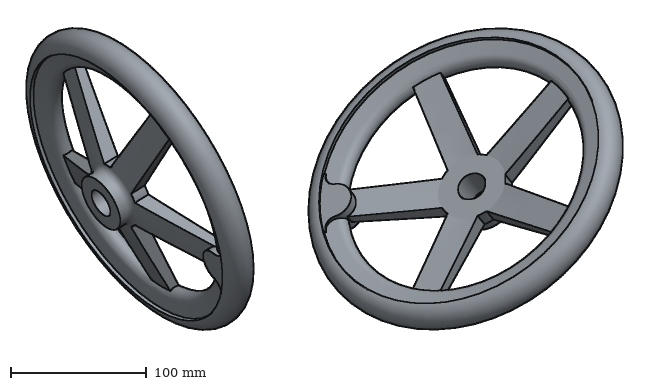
import cadquery as cq
import math


wheel_radius = 125.0
grip_radius = 13.0
grip_centre = wheel_radius - grip_radius
rim_inner_radius = 95.0
nose_end_radius = 101.0
flank_angle = math.radians(12)

overall_depth = 50.0
hub_front = grip_radius - overall_depth
neck_radius = 22.5
neck_length = 7.8
neck_flare_length = 4.8
neck_flare_radius = 26.0
flare_mid_outward = 0.3
flare_mid_inward = 0.6
hub_radius = 27.0
hub_back = -11.2
bore_radius = 11.0

spoke_count = 5
spoke_root_half_width = 13.0
spoke_tip_half_width = 11.2
spoke_tip_radius = 98.8
spoke_slope = 0.29
spoke_tip_thickness = 8.0

boss_radius = 14.0
boss_centre = nose_end_radius
boss_blend_radius = 9.0
blend_ring_radius = 110.5
boss_half_depth = 11.0
boss_anchor_radius = 115.0

flare_front = hub_front + neck_length
flare_back = flare_front + neck_flare_length


def revolve_about_y(profile):
    """Revolve a closed profile drawn in the XY plane about the Y axis."""
    return profile.close().revolve(360, (0, 0, 0), (0, 1, 0))


def extrude_along_y(profile, y_start, y_end):
    """Extrude an outline on the XZ plane between two Y positions."""
    return profile.extrude(y_start - y_end).translate((0, y_start, 0))


def make_rim():
    nose_radius = (nose_end_radius - rim_inner_radius) / (1 - math.sin(flank_angle))
    nose_half_depth = nose_radius * math.cos(flank_angle)
    flank_half_depth = nose_half_depth + (grip_centre - nose_end_radius) * math.tan(flank_angle)
    profile = (
        cq.Workplane("XY")
        .moveTo(grip_centre, -grip_radius)
        .threePointArc((wheel_radius, 0), (grip_centre, grip_radius))
        .lineTo(grip_centre, flank_half_depth)
        .lineTo(nose_end_radius, nose_half_depth)
        .threePointArc((rim_inner_radius, 0), (nose_end_radius, -nose_half_depth))
        .lineTo(grip_centre, -flank_half_depth)
    )
    return revolve_about_y(profile)


def make_neck():
    """Hub neck, flaring out to meet the front face of the dish."""
    flare_mid = (neck_radius + flare_mid_outward * (neck_flare_radius - neck_radius),
                 flare_front + flare_mid_inward * neck_flare_length)
    profile = (
        cq.Workplane("XY")
        .moveTo(0, hub_front)
        .lineTo(neck_radius, hub_front)
        .lineTo(neck_radius, flare_front)
        .threePointArc(flare_mid, (neck_flare_radius, flare_back))
        .lineTo(0, flare_back)
    )
    return revolve_about_y(profile)


def make_spoked_dish():
    """Hub disc and spokes, cut as a star from a conical dish that thins towards the rim."""
    front_tip = flare_back + spoke_slope * (spoke_tip_radius - neck_flare_radius)
    dish = revolve_about_y(
        cq.Workplane("XY")
        .moveTo(0, flare_back)
        .lineTo(neck_flare_radius, flare_back)
        .lineTo(spoke_tip_radius, front_tip)
        .lineTo(spoke_tip_radius, front_tip + spoke_tip_thickness)
        .lineTo(hub_radius, hub_back)
        .lineTo(0, hub_back)
    )
    arm_outline = cq.Workplane("XZ").polyline([
        (0, -spoke_root_half_width),
        (wheel_radius, -spoke_tip_half_width),
        (wheel_radius, spoke_tip_half_width),
        (0, spoke_root_half_width),
    ]).close()
    arm = extrude_along_y(arm_outline, hub_front, grip_radius)
    star = extrude_along_y(cq.Workplane("XZ").circle(hub_radius), hub_front, grip_radius)
    for index in range(spoke_count):
        star = star.union(arm.rotate((0, 0, 0), (0, 1, 0), index * 360 / spoke_count))
    return dish.intersect(star)


def make_handle_boss():
    """Round boss on the +X side, with rounded blends where it meets the grip ring."""
    blend_reach = blend_ring_radius - boss_blend_radius
    blend_gap = boss_radius + boss_blend_radius
    blend_x = (blend_reach**2 + boss_centre**2 - blend_gap**2) / (2 * boss_centre)
    blend_z = math.sqrt(blend_reach**2 - blend_x**2)

    boss_share = boss_radius / blend_gap
    boss_tangent_x = boss_centre + boss_share * (blend_x - boss_centre)
    boss_tangent_z = boss_share * blend_z
    ring_share = blend_ring_radius / blend_reach
    ring_tangent_x = ring_share * blend_x
    ring_tangent_z = ring_share * blend_z

    anchor_share = boss_anchor_radius / blend_reach
    anchor_x = anchor_share * blend_x
    anchor_z = anchor_share * blend_z

    bisector_x = boss_tangent_x + ring_tangent_x - 2 * blend_x
    bisector_z = boss_tangent_z + ring_tangent_z - 2 * blend_z
    bisector = math.hypot(bisector_x, bisector_z)
    blend_mid_x = blend_x + boss_blend_radius * bisector_x / bisector
    blend_mid_z = blend_z + boss_blend_radius * bisector_z / bisector

    outline = (
        cq.Workplane("XZ")
        .moveTo(ring_tangent_x, ring_tangent_z)
        .threePointArc((blend_mid_x, blend_mid_z), (boss_tangent_x, boss_tangent_z))
        .threePointArc((boss_centre - boss_radius, 0), (boss_tangent_x, -boss_tangent_z))
        .threePointArc((blend_mid_x, -blend_mid_z), (ring_tangent_x, -ring_tangent_z))
        .lineTo(anchor_x, -anchor_z)
        .threePointArc((boss_anchor_radius, 0), (anchor_x, anchor_z))
        .close()
    )
    return extrude_along_y(outline, -boss_half_depth, boss_half_depth)


wheel = make_rim().union(make_spoked_dish()).union(make_neck()).union(make_handle_boss())
bore = extrude_along_y(cq.Workplane("XZ").circle(bore_radius), hub_front, grip_radius)
result = wheel.cut(bore)